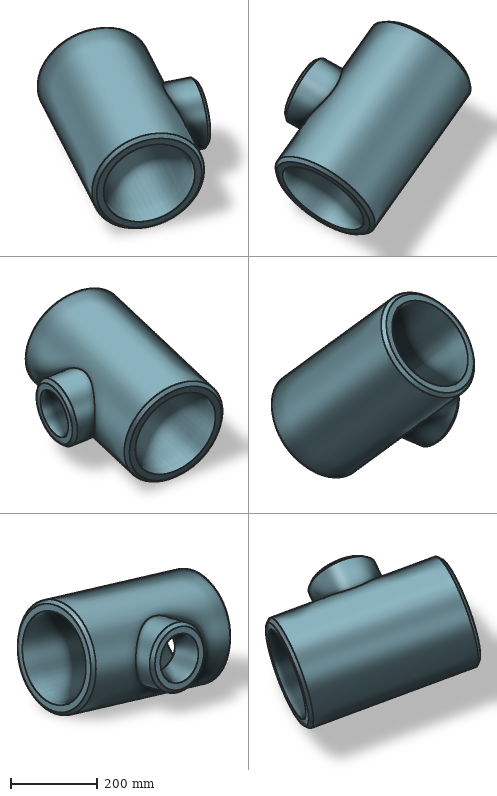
import cadquery as cq

run_length = 432.0
run_diameter = 273.0
wall = 25.5
branch_diameter = 168.5
branch_reach = 193.5
bevel = 8.5

run_bore = run_diameter - 2 * wall
branch_bore = branch_diameter - 2 * wall


def run_cylinder(diameter):
    """Cylinder along X, centred on the origin."""
    return cq.Workplane("YZ").circle(diameter / 2).extrude(run_length / 2, both=True)


def branch_cylinder(diameter):
    """Cylinder from the run axis out to the branch end face."""
    return cq.Workplane("XZ").circle(diameter / 2).extrude(-branch_reach)


run = run_cylinder(run_diameter).faces("<X or >X").chamfer(bevel)
branch = branch_cylinder(branch_diameter).faces(">Y").chamfer(bevel)

result = run.union(branch).cut(run_cylinder(run_bore)).cut(branch_cylinder(branch_bore))